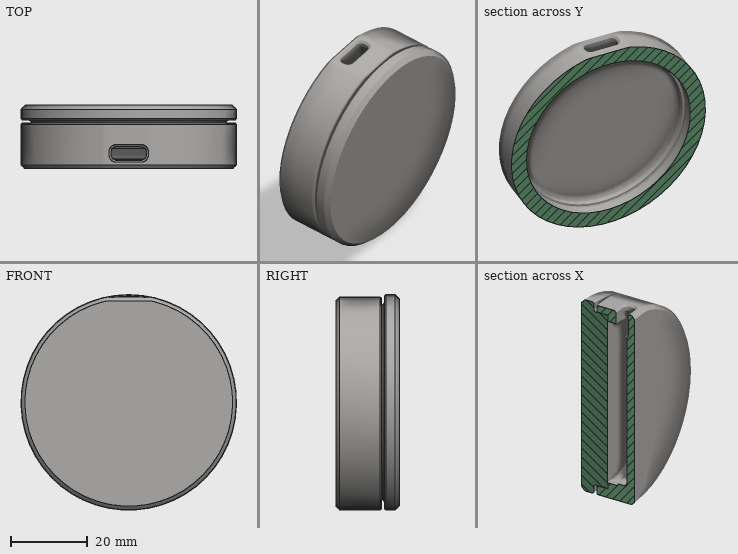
import cadquery as cq
import math

outer_radius = 28.0
total_depth = 16.6

housing_depth = 11.8
front_chamfer = 1.0
rear_chamfer = 0.3
flat_half_width = 5.2
flat_blend_radius = 6.4
blend_center_radius = outer_radius - flat_blend_radius
blend_angle = math.asin(flat_half_width / blend_center_radius)
flat_height = blend_center_radius * math.cos(blend_angle) + flat_blend_radius

front_chamber_radius = 22.95
front_chamber_start = 2.5
front_chamber_fillet = 1.0
middle_chamber_radius = 23.5
middle_chamber_start = 5.25

port_width = 9.2
port_height = 3.5
port_corner_radius = 1.4
port_chamfer = 0.55
port_center = 4.0
port_wall = 1.7
recess_width = 10.1
recess_height = 3.7
recess_bottom = 20.7

gap_depth = 0.8
rim_start = housing_depth + gap_depth
rim_front_chamfer = 0.4
rim_rear_chamfer = 1.2
plug_radius = 25.25
plug_end = 8.4
plug_fillet = gap_depth


def polar(radius, angle):
    """Point (x, z) at an angle measured from +Z toward +X."""
    return (radius * math.sin(angle), radius * math.cos(angle))


def mirrored(point):
    return (-point[0], point[1])


def along_y(start, end):
    """XZ sketch plane at Y = start, and the signed distance to Y = end."""
    return cq.Workplane("XZ", origin=(0, start, 0)), start - end


def make_blank():
    """Disc with a flat on top, blended into the round side by two arcs."""
    plane, length = along_y(0, housing_depth)
    flat_end = (flat_half_width, flat_height)
    blend_center = polar(blend_center_radius, blend_angle)
    blend_offset = polar(flat_blend_radius, blend_angle / 2)
    blend_middle = (blend_center[0] + blend_offset[0], blend_center[1] + blend_offset[1])
    blend_end = polar(outer_radius, blend_angle)
    blank = (
        plane.moveTo(*mirrored(flat_end))
        .lineTo(*flat_end)
        .threePointArc(blend_middle, blend_end)
        .threePointArc((0, -outer_radius), mirrored(blend_end))
        .threePointArc(mirrored(blend_middle), mirrored(flat_end))
        .close()
        .extrude(length)
    )
    blank = blank.faces("<Y").chamfer(front_chamfer)
    return blank.faces(">Y").chamfer(rear_chamfer)


def make_cavity():
    """Three coaxial chambers, each reaching to the open rear of the housing."""
    plane, length = along_y(front_chamber_start, housing_depth)
    front_chamber = plane.circle(front_chamber_radius).extrude(length)
    front_chamber = front_chamber.faces("<Y").edges().fillet(front_chamber_fillet)
    plane, length = along_y(middle_chamber_start, housing_depth)
    middle_chamber = plane.circle(middle_chamber_radius).extrude(length)
    plane, length = along_y(plug_end, housing_depth)
    plug_seat = plane.circle(plug_radius).extrude(length)
    return front_chamber.union(middle_chamber).union(plug_seat)


def port_outline(width, height, corner_radius):
    return cq.Sketch().rect(width, height).vertices().fillet(corner_radius)


def make_port():
    """Rounded slot through the flat, widened by a chamfer at its mouth and opening into the recess."""
    mouth = cq.Workplane("XY", origin=(0, port_center, flat_height))
    slot = mouth.placeSketch(port_outline(port_width, port_height, port_corner_radius))
    slot = slot.extrude(-port_wall)
    flare_outline = port_outline(
        port_width + 2 * port_chamfer,
        port_height + 2 * port_chamfer,
        port_corner_radius + port_chamfer,
    )
    flare = mouth.placeSketch(flare_outline).extrude(-port_chamfer, taper=45)
    recess_top = flat_height - port_wall
    recess = cq.Workplane("XY", origin=(0, port_center, recess_top))
    recess = recess.rect(recess_width, recess_height).extrude(recess_bottom - recess_top)
    return slot.union(flare).union(recess)


def make_housing():
    return make_blank().cut(make_cavity()).cut(make_port())


def make_lid():
    """Chamfered rim and a plug, joined by a concave fillet, revolved about Y."""
    fillet_center = (rim_start - plug_fillet, plug_radius + plug_fillet)
    diagonal_offset = plug_fillet * math.sqrt(0.5)
    fillet_middle = (fillet_center[0] + diagonal_offset, fillet_center[1] - diagonal_offset)
    half_section = (
        cq.Workplane("YZ")
        .moveTo(plug_end, 0)
        .lineTo(plug_end, plug_radius)
        .lineTo(rim_start - plug_fillet, plug_radius)
        .threePointArc(fillet_middle, (rim_start, plug_radius + plug_fillet))
        .lineTo(rim_start, outer_radius - rim_front_chamfer)
        .lineTo(rim_start + rim_front_chamfer, outer_radius)
        .lineTo(total_depth - rim_rear_chamfer, outer_radius)
        .lineTo(total_depth, outer_radius - rim_rear_chamfer)
        .lineTo(total_depth, 0)
        .close()
    )
    return half_section.revolve(360, (0, 0, 0), (1, 0, 0))


housing = make_housing()
lid = make_lid()
result = cq.Compound.makeCompound([housing.solids().val(), lid.val()])